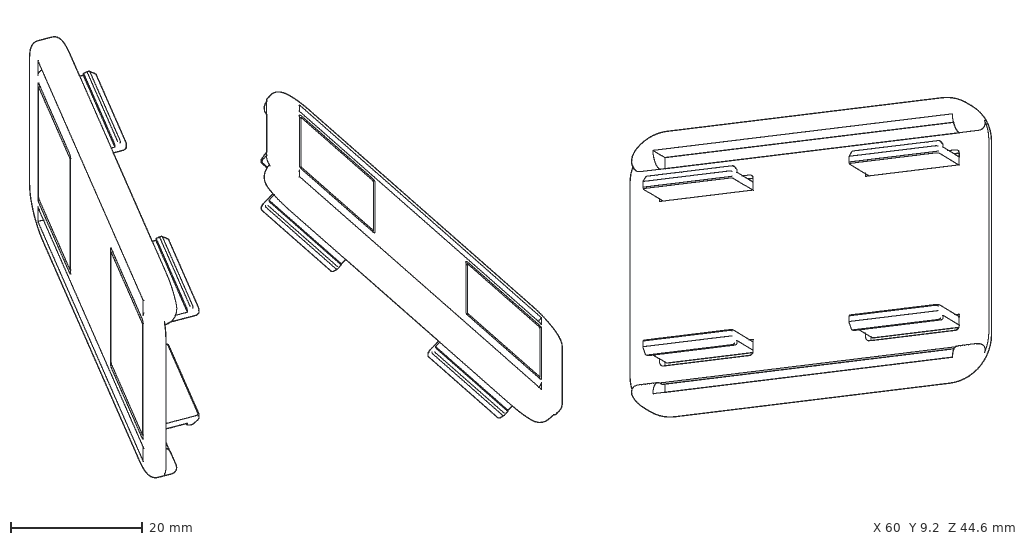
import cadquery as cq


FRAME_LENGTH = 60.0
FRAME_WIDTH = 44.6
PLATE_THICKNESS = 2.0
CORNER_RADIUS = 7.0
FRONT_FILLET = 1.2

RIM_DEPTH = 4.5
RIM_INNER_RADIUS = RIM_DEPTH - PLATE_THICKNESS
RIM_BACK_FILLET = 1.0

SLOT_LENGTH = 50.05
SLOT_OUTER_Z = 19.25
SLOT_INNER_Z = 16.9

CLIP_WIDTH = 15.0
CLIP_OFFSET_X = 17.2
CLIP_HALF_HEIGHT = 13.3
CLIP_REACH = 9.2
CLIP_WEB_THICKNESS = 1.0
LEG_THICKNESS = 1.3
BARB_TIP_Z = 14.15
BARB_ROOT_Y = 7.2
BARB_BEVEL_LENGTH = 0.55
BARB_BEVEL_DROP = 0.2
BARB_CREST_WIDTH = 0.4
BARB_EDGE_FILLET = 0.35
LEG_END_CHAMFER = 0.2
RAMP_FOOT_DROP = 0.25

POCKET_SIDE_GAP = 0.3
POCKET_HALF_HEIGHT = 14.3
POCKET_CORNER_RADIUS = 0.6
WINDOW_INNER_Z = 11.8


def block(x_range, y_range, z_range):
    """Box given by its limits along the three axes."""
    size = [high - low for low, high in (x_range, y_range, z_range)]
    corner = (x_range[0], y_range[0], z_range[0])
    return cq.Workplane("XY").box(*size, centered=False).translate(corner)


def rounded_prism(length, width, depth, radius):
    """Rounded rectangle in XZ, centred on the Y axis, running from Y = 0 to Y = depth."""
    return (
        cq.Workplane("XZ")
        .rect(length, width)
        .extrude(-depth)
        .edges("|Y")
        .fillet(radius)
    )


def along_x(outline, width):
    """Extrude a closed YZ outline to a width centred on X = 0."""
    return outline.close().extrude(width / 2, both=True)


def make_rim():
    """Raised rim along the top side; its inner edge is one quarter round down to the plate."""
    arc_z = SLOT_INNER_Z + RIM_INNER_RADIUS
    profile = along_x(
        cq.Workplane("YZ")
        .moveTo(PLATE_THICKNESS, FRAME_WIDTH / 2)
        .lineTo(RIM_DEPTH, FRAME_WIDTH / 2)
        .lineTo(RIM_DEPTH, arc_z)
        .radiusArc((PLATE_THICKNESS, SLOT_INNER_Z), RIM_INNER_RADIUS),
        FRAME_LENGTH,
    )
    outline = rounded_prism(FRAME_LENGTH, FRAME_WIDTH, RIM_DEPTH, CORNER_RADIUS)
    rim = profile.intersect(outline)
    back_outline = rim.faces(">Y").edges("not <Z")
    end_curves = rim.edges("%BSPLINE")
    return back_outline.add(end_curves).fillet(RIM_BACK_FILLET)


def make_pocket():
    """Pocket for one clip, centred on X = 0, with a leg window through its floor at each end."""
    width = CLIP_WIDTH + 2 * POCKET_SIDE_GAP
    opening = rounded_prism(width, 2 * POCKET_HALF_HEIGHT, PLATE_THICKNESS, POCKET_CORNER_RADIUS)
    floor = block(
        (-width / 2, width / 2),
        (CLIP_WEB_THICKNESS, PLATE_THICKNESS),
        (-WINDOW_INNER_Z, WINDOW_INNER_Z),
    )
    return opening.cut(floor)


def make_frame():
    """Buckle plate with two rims, two strap slots and two clip pockets."""
    frame = rounded_prism(FRAME_LENGTH, FRAME_WIDTH, PLATE_THICKNESS, CORNER_RADIUS)
    frame = frame.faces("<Y").edges().fillet(FRONT_FILLET)

    top_rim = make_rim()
    frame = frame.union(top_rim).union(top_rim.mirror("XY"))

    slot = block(
        (-SLOT_LENGTH / 2, SLOT_LENGTH / 2),
        (0, RIM_DEPTH),
        (SLOT_INNER_Z, SLOT_OUTER_Z),
    )
    frame = frame.cut(slot).cut(slot.mirror("XY"))

    for side in (-1, 1):
        edge_point = (0, 0, side * SLOT_INNER_Z)
        frame = frame.edges(cq.NearestToPointSelector(edge_point)).fillet(FRONT_FILLET)

    pocket = make_pocket()
    for side in (-1, 1):
        frame = frame.cut(pocket.translate((side * CLIP_OFFSET_X, 0, 0)))
    return frame


def make_barbed_end():
    """Barbed tip of the upper clip leg, with the edges of its two sides rounded."""
    inner_z = CLIP_HALF_HEIGHT - LEG_THICKNESS
    crest_y = BARB_ROOT_Y + BARB_BEVEL_LENGTH
    ramp_y = crest_y + BARB_CREST_WIDTH
    foot_y = CLIP_REACH - LEG_END_CHAMFER
    foot_z = BARB_TIP_Z - (foot_y - ramp_y)
    end = along_x(
        cq.Workplane("YZ")
        .moveTo(BARB_ROOT_Y, inner_z)
        .lineTo(BARB_ROOT_Y, BARB_TIP_Z - BARB_BEVEL_DROP)
        .lineTo(crest_y, BARB_TIP_Z)
        .lineTo(ramp_y, BARB_TIP_Z)
        .lineTo(foot_y, foot_z)
        .lineTo(CLIP_REACH, foot_z - RAMP_FOOT_DROP)
        .lineTo(CLIP_REACH, inner_z + LEG_END_CHAMFER)
        .lineTo(foot_y, inner_z),
        CLIP_WIDTH,
    )
    side_edges = end.faces("<X or >X").edges("not (<Y or <Z)")
    return side_edges.fillet(BARB_EDGE_FILLET)


def make_clip():
    """U-shaped clip centred on X = 0: a flat web with a barbed leg at each end."""
    half_width = CLIP_WIDTH / 2
    clip = block(
        (-half_width, half_width),
        (0, CLIP_WEB_THICKNESS),
        (-CLIP_HALF_HEIGHT, CLIP_HALF_HEIGHT),
    )
    leg = block(
        (-half_width, half_width),
        (0, BARB_ROOT_Y),
        (CLIP_HALF_HEIGHT - LEG_THICKNESS, CLIP_HALF_HEIGHT),
    ).union(make_barbed_end())
    return clip.union(leg).union(leg.mirror("XY"))


frame = make_frame()
clip = make_clip()
clips = [clip.translate((side * CLIP_OFFSET_X, 0, 0)) for side in (-1, 1)]

result = cq.Compound.makeCompound([frame.val(), *[placed.val() for placed in clips]])